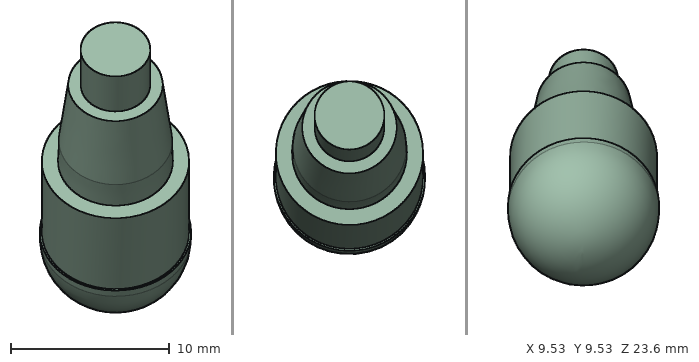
import cadquery as cq

TOTAL_HEIGHT = 23.6
CONE_TOP_Z = 20.08
CONE_BASE_Z = 14.5
BARREL_TOP_Z = 12.41
CAP_TOP_Z = 5.3

CAP_DIAMETER = 9.53
BARREL_DIAMETER = 9.27
COLLAR_BASE_DIAMETER = 7.25
CONE_BASE_DIAMETER = 7.15
CONE_TOP_DIAMETER = 5.95
PIN_DIAMETER = 4.4

CAP_RADIUS = CAP_DIAMETER / 2
DOME_ARC_MIDPOINT = 0.5 ** 0.5


def make_cap():
    """Hemispherical dome with a short cylindrical rim above its equator."""
    arc_offset = CAP_RADIUS * DOME_ARC_MIDPOINT
    return (
        cq.Workplane("XZ")
        .moveTo(0, 0)
        .threePointArc((arc_offset, CAP_RADIUS - arc_offset), (CAP_RADIUS, CAP_RADIUS))
        .lineTo(CAP_RADIUS, CAP_TOP_Z)
        .lineTo(0, CAP_TOP_Z)
        .close()
        .revolve(360, (0, 0), (0, 1))
    )


def make_stem():
    """Turned stem: barrel on the cap, then slightly tapered collar, conical neck and end pin."""
    barrel_radius = BARREL_DIAMETER / 2
    collar_base_radius = COLLAR_BASE_DIAMETER / 2
    cone_base_radius = CONE_BASE_DIAMETER / 2
    cone_top_radius = CONE_TOP_DIAMETER / 2
    pin_radius = PIN_DIAMETER / 2
    return (
        cq.Workplane("XZ")
        .moveTo(0, CAP_TOP_Z)
        .lineTo(barrel_radius, CAP_TOP_Z)
        .lineTo(barrel_radius, BARREL_TOP_Z)
        .lineTo(collar_base_radius, BARREL_TOP_Z)
        .lineTo(cone_base_radius, CONE_BASE_Z)
        .lineTo(cone_top_radius, CONE_TOP_Z)
        .lineTo(pin_radius, CONE_TOP_Z)
        .lineTo(pin_radius, TOTAL_HEIGHT)
        .lineTo(0, TOTAL_HEIGHT)
        .close()
        .revolve(360, (0, 0), (0, 1))
    )


cap = make_cap()
stem = make_stem()

result = cq.Compound.makeCompound([cap.val(), stem.val()])